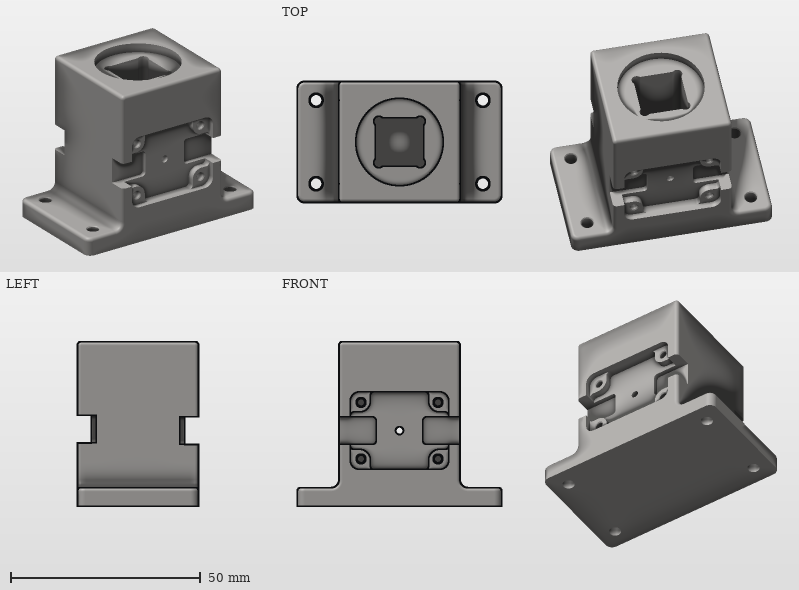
import cadquery as cq
flange_length = 54.0
width = 32.0
flange_height = 5.0
tower_length = 32.0
total_height = 43.5
root_radius = 2.0
flange_corner_radius = 2.0
edge_radius = 1.0

mount_hole_diameter = 3.2
mount_hole_x = 22.0
mount_hole_y = 11.0

hole_chamfer = 0.25
chamfer_angle = 45.0

recess_diameter = 23.1
recess_depth = 2.5
well_size = 12.7
well_floor_z = 5.0
relief_radius = 1.35
relief_offset = 5.45
relief_blend_radius = 0.5

pocket_length = 26.0
pocket_height = 20.5
pocket_corner_radius = 2.5
pocket_depth = 3.65
boss_top_depth = 1.7
boss_size = 5.3
boss_corner_radius = 2.75
boss_root_radius = 1.0
screw_hole_diameter = 2.05
screw_hole_depth = 5.0
screw_x = 10.15
screw_z = 7.45

slot_height = 7.25
slot_inner_x = 6.15
slot_depth = 5.0
slot_corner_radius = 1.0

beam_hole_diameter = 2.0
beam_z = 20.0
rear_pocket_z = 20.4

overcut = 1.0
edge_margin = 0.1


def make_body():
    """Tower on a flange, with a concave root and one continuous rounded outline."""
    half_flange = flange_length / 2
    half_tower = tower_length / 2
    profile = (
        cq.Workplane("XZ", origin=(0, width / 2, 0))
        .moveTo(-half_flange, 0)
        .lineTo(half_flange, 0)
        .lineTo(half_flange, flange_height)
        .lineTo(half_tower + root_radius, flange_height)
        .radiusArc((half_tower, flange_height + root_radius), root_radius)
        .lineTo(half_tower, total_height)
        .lineTo(-half_tower, total_height)
        .lineTo(-half_tower, flange_height + root_radius)
        .radiusArc((-half_tower - root_radius, flange_height), root_radius)
        .lineTo(-half_flange, flange_height)
        .close()
    )
    body = profile.extrude(width)
    flange_corners = cq.selectors.BoxSelector(
        (-half_flange - overcut, -width, -overcut),
        (half_flange + overcut, width, flange_height - overcut),
    )
    body = body.edges("|Z").edges(flange_corners).fillet(flange_corner_radius)
    side_edges = body.faces("<Y or >Y").edges("not <Z").edges(
        cq.selectors.BoxSelector(
            (-half_flange, -width, flange_height - overcut),
            (half_flange, width, total_height + overcut),
        )
    )
    tower_top = body.faces(">Z").edges("|Y").vals()
    flange_ends = body.faces("<X or >X").edges(">Z").vals()
    return side_edges.add(tower_top).add(flange_ends).fillet(edge_radius)


def make_chamfered_hole(diameter, depth):
    """Hole tool going down from the origin along -Z, widening at its mouth."""
    shaft = cq.Workplane("XY").circle(diameter / 2).extrude(-depth)
    mouth = (
        cq.Workplane("XY")
        .circle(diameter / 2 + hole_chamfer)
        .extrude(-hole_chamfer, taper=chamfer_angle)
    )
    return shaft.union(mouth)


def make_mount_holes():
    hole = make_chamfered_hole(mount_hole_diameter, flange_height + overcut)
    positions = cq.Workplane("XY", origin=(0, 0, flange_height)).rect(
        2 * mount_hole_x, 2 * mount_hole_y, forConstruction=True
    )
    return positions.vertices().eachpoint(hole.val(), combine=False)


def make_well():
    """Round recess in the top, and the square well below it with relieved corners."""
    recess = (
        cq.Workplane("XY", origin=(0, 0, total_height - recess_depth))
        .circle(recess_diameter / 2)
        .extrude(recess_depth + overcut)
    )
    depth = total_height - well_floor_z
    floor = cq.Workplane("XY", origin=(0, 0, well_floor_z))
    square = floor.rect(well_size, well_size).extrude(depth)
    reliefs = (
        floor.rect(2 * relief_offset, 2 * relief_offset, forConstruction=True)
        .vertices()
        .circle(relief_radius)
        .extrude(depth)
    )
    well = square.union(reliefs)
    half_well = well_size / 2
    shoulders = [
        edge
        for edge in well.edges("|Z").vals()
        if abs(max(abs(edge.Center().x), abs(edge.Center().y)) - half_well) < edge_margin
    ]
    well = well.newObject(shoulders).fillet(relief_blend_radius)
    return recess.union(well)


def box_from_face(length, height, depth):
    """Box centred on the origin in X and Z, reaching from outside the -Y face to the given depth."""
    outer_y = -width / 2 - overcut
    return cq.Workplane("XZ", origin=(0, outer_y, 0)).rect(length, height).extrude(-depth - overcut)


def make_pocket():
    """Board pocket with four corner screw bosses and two side slots, cut from the -Y face."""
    upper = box_from_face(pocket_length, pocket_height, boss_top_depth)
    upper = upper.edges("|Y").fillet(pocket_corner_radius)

    boss_edge_x = pocket_length / 2 - boss_size
    boss_edge_z = pocket_height / 2 - boss_size
    across = box_from_face(pocket_length, 2 * boss_edge_z, pocket_depth)
    across = across.edges("|Y").fillet(boss_root_radius)
    upright = box_from_face(2 * boss_edge_x, pocket_height, pocket_depth)
    upright = upright.edges("|Y").fillet(boss_root_radius)
    boss_corners = cq.selectors.BoxSelector(
        (-boss_edge_x - edge_margin, -width, -boss_edge_z - edge_margin),
        (boss_edge_x + edge_margin, width, boss_edge_z + edge_margin),
    )
    lower = across.union(upright).edges("|Y").edges(boss_corners).fillet(boss_corner_radius)
    pocket = upper.union(lower)

    slot_length = flange_length / 2 - slot_inner_x
    slot_x = slot_inner_x + slot_length / 2
    slot = box_from_face(slot_length, slot_height, slot_depth).edges("|Y").fillet(slot_corner_radius)
    for side in (-1, 1):
        pocket = pocket.union(slot.translate((side * slot_x, 0, 0)))

    screw_hole = make_chamfered_hole(screw_hole_diameter, screw_hole_depth)
    screw_hole = screw_hole.rotate((0, 0, 0), (1, 0, 0), 90)
    boss_top_y = -width / 2 + boss_top_depth
    for x in (-screw_x, screw_x):
        for z in (-screw_z, screw_z):
            pocket = pocket.union(screw_hole.translate((x, boss_top_y, z)))
    return pocket


def make_beam_hole():
    return (
        cq.Workplane("XZ", origin=(0, width / 2, beam_z))
        .circle(beam_hole_diameter / 2)
        .extrude(width)
    )


front_pocket = make_pocket().translate((0, 0, beam_z))
rear_pocket = (
    make_pocket()
    .rotate((0, 0, 0), (0, 0, 1), 180)
    .translate((0, 0, rear_pocket_z))
)

result = (
    make_body()
    .cut(make_mount_holes())
    .cut(make_well())
    .cut(front_pocket)
    .cut(rear_pocket)
    .cut(make_beam_hole())
)